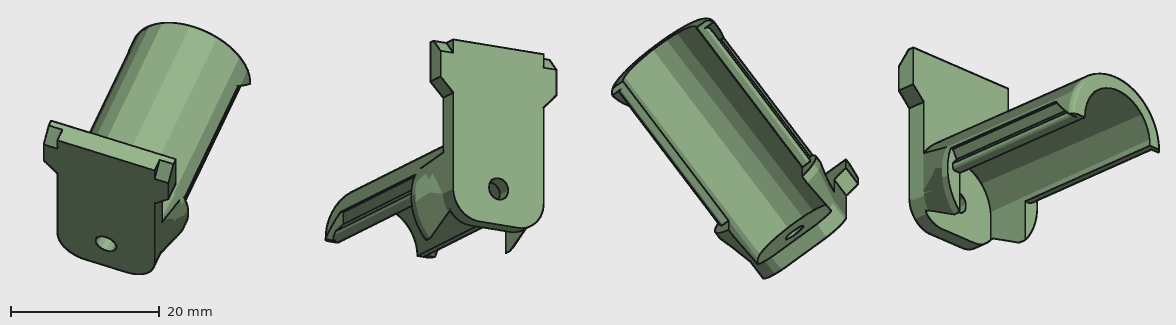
import cadquery as cq
import math

total_length = 32.8

plate_thickness = 2.8
plate_top = 19.98
head_half_width = 18.0 / 2
stem_half_width = 7.02
stem_bottom = -5.02
stem_corner_radius = 4.0
head_side_bottom = 14.45
shoulder_drop = head_half_width - stem_half_width
notch_size = 1.9
hole_diameter = 3.0

arm_radius = 8.5
flange_start = 7.75
flange_end = 8.85
end_round = 1.0
channel_half_width = 6.15
channel_start = 2.25

groove_edge_x = 7.9
groove_edge_z = math.sqrt(arm_radius**2 - groove_edge_x**2)
groove_root_x = 6.8
groove_root_z = 1.85
lip_x = 7.5
lip_top_z = 1.0
lip_round = 0.5
groove_end_y = 32.05


def plane_at(y):
    """XZ plane at the given Y; positive extrusion runs toward +Y."""
    return cq.Workplane(cq.Plane(origin=(0, y, 0), xDir=(-1, 0, 0), normal=(0, 1, 0)))


def make_plate():
    shoulder_bottom = head_side_bottom - shoulder_drop
    right_side = [
        (stem_half_width, stem_bottom),
        (stem_half_width, shoulder_bottom),
        (head_half_width, head_side_bottom),
        (head_half_width, plate_top),
    ]
    left_side = [(-x, z) for x, z in reversed(right_side)]
    plate = plane_at(0).polyline(right_side + left_side).close().extrude(plate_thickness)
    plate = plate.edges("|Y").edges("<Z").fillet(stem_corner_radius)
    notch = (
        cq.Workplane("YZ")
        .polyline([(0, plate_top), (notch_size, plate_top), (0, plate_top - notch_size)])
        .close()
        .extrude(shoulder_drop)
    )
    for notch_x in (stem_half_width, -head_half_width):
        plate = plate.cut(notch.translate((notch_x, 0, 0)))
    return plate


def ring_wire(y, corners, middles):
    """Closed wire through the corners; a middle of None gives a straight edge."""
    edges = []
    for index, middle in enumerate(middles):
        start = cq.Vector(corners[index][0], y, corners[index][1])
        end_x, end_z = corners[(index + 1) % len(corners)]
        end = cq.Vector(end_x, y, end_z)
        if middle is None:
            edges.append(cq.Edge.makeLine(start, end))
        else:
            edges.append(cq.Edge.makeThreePointArc(start, cq.Vector(middle[0], y, middle[1]), end))
    return cq.Wire.assembleEdges(edges)


def circle_point(angle):
    return arm_radius * math.cos(angle), arm_radius * math.sin(angle)


def make_transition():
    """Neck blending from the stem outline, closed by a round top, to the flange circle."""
    side_top = math.sqrt(arm_radius**2 - stem_half_width**2)
    corner_x = stem_half_width - stem_corner_radius
    corner_z = stem_bottom + stem_corner_radius
    corner_mid_x = corner_x + stem_corner_radius * math.sqrt(0.5)
    corner_mid_z = corner_z - stem_corner_radius * math.sqrt(0.5)
    corners = [
        (-stem_half_width, side_top),
        (stem_half_width, side_top),
        (stem_half_width, corner_z),
        (corner_x, stem_bottom),
        (-corner_x, stem_bottom),
        (-stem_half_width, corner_z),
    ]
    middles = [
        (0, arm_radius),
        None,
        (corner_mid_x, corner_mid_z),
        None,
        (-corner_mid_x, corner_mid_z),
        None,
    ]
    stem_wire = ring_wire(plate_thickness, corners, middles)

    top_length = 2 * arm_radius * math.asin(stem_half_width / arm_radius)
    side_length = side_top - corner_z
    corner_length = stem_corner_radius * math.pi / 2
    bottom_length = 2 * corner_x
    lengths = [top_length, side_length, corner_length, bottom_length, corner_length, side_length]
    sweeps = [2 * math.pi * length / sum(lengths) for length in lengths]
    angle = math.pi / 2 + sweeps[0] / 2
    circle_corners = []
    circle_middles = []
    for sweep in sweeps:
        circle_corners.append(circle_point(angle))
        circle_middles.append(circle_point(angle - sweep / 2))
        angle -= sweep
    flange_wire = ring_wire(flange_start, circle_corners, circle_middles)
    return cq.Workplane(cq.Solid.makeLoft([stem_wire, flange_wire], True))


def make_arm():
    flange = plane_at(flange_start).circle(arm_radius).extrude(flange_end - flange_start)
    cylinder = (
        plane_at(flange_start)
        .circle(arm_radius)
        .extrude(total_length - flange_start)
        .faces(">Y")
        .edges()
        .fillet(end_round)
    )
    upper_half = cq.Workplane().box(
        2 * arm_radius, total_length, arm_radius, centered=(True, False, False)
    )
    return flange.union(cylinder.intersect(upper_half))


def make_groove_cutter():
    """Cutter for the +X groove, also trimming the lip and rounding its lower edge."""
    outer_x = arm_radius + 0.33
    round_mid_x = lip_x - lip_round + lip_round * math.sqrt(0.5)
    round_mid_z = lip_round - lip_round * math.sqrt(0.5)
    profile = (
        cq.Workplane("XZ", origin=(0, flange_end, 0))
        .moveTo(outer_x, groove_edge_z)
        .lineTo(lip_x, groove_edge_z)
        .lineTo(groove_root_x, groove_root_z)
        .lineTo(lip_x, lip_top_z)
        .lineTo(lip_x, lip_round)
        .threePointArc((round_mid_x, round_mid_z), (lip_x - lip_round, 0))
        .lineTo(outer_x, 0)
        .close()
        .extrude(flange_end - groove_end_y)
    )
    sloping_end = (
        cq.Workplane("YZ")
        .polyline([
            (flange_end, 0),
            (groove_end_y, 0),
            (groove_end_y - groove_edge_z, groove_edge_z),
            (flange_end, groove_edge_z),
        ])
        .close()
        .extrude(outer_x)
    )
    return profile.intersect(sloping_end)


def make_channel():
    """Arched channel, open below, running out through the far end of the arm."""
    return (
        plane_at(channel_start)
        .moveTo(channel_half_width, -arm_radius)
        .lineTo(channel_half_width, 0)
        .threePointArc((0, channel_half_width), (-channel_half_width, 0))
        .lineTo(-channel_half_width, -arm_radius)
        .close()
        .extrude(total_length - channel_start)
    )


groove_cutter = make_groove_cutter()
hole = plane_at(0).circle(hole_diameter / 2).extrude(plate_thickness)

result = make_plate().union(make_transition()).union(make_arm())
result = result.cut(groove_cutter).cut(groove_cutter.mirror("YZ"))
result = result.cut(make_channel()).cut(hole)